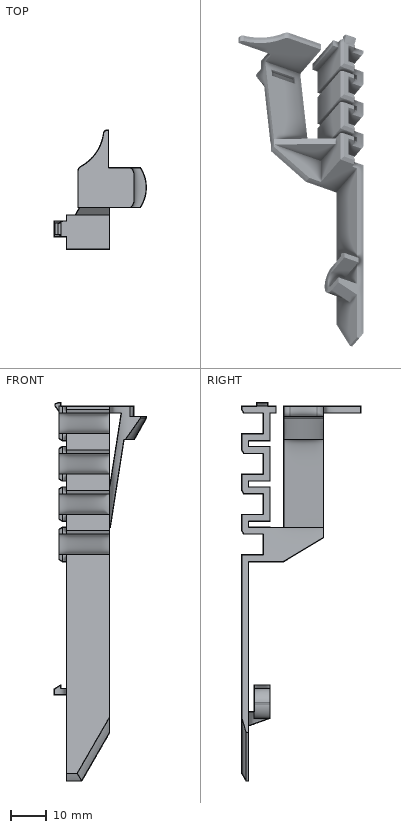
import cadquery as cq
import math

SIN30 = math.sin(math.radians(30))
COS30 = math.cos(math.radians(30))
TAN30 = math.tan(math.radians(30))

plate_width = 12.2
wall = 2.0
comb_top = 106.0
comb_depth = 8.05
pitch = 11.4
cell_count = 4
cell_height = 9.8
top_shelf_depth = 9.75
finger_bevel = 1.0
comb_bottom = comb_top - (cell_count - 1) * pitch - cell_height
plate_top = comb_bottom + wall

foot_width = 4.3
foot_bevel = 2.2
foot_bevel_depth = foot_bevel * TAN30

tooth_length = 2.15
tooth_front = 3.55
tooth_taper_length = 1.0
tooth_taper = 0.65

barb_root_x = -1.6
barb_height = 1.0
top_barb_tip_x = -3.3
top_barb_crest_x = -2.4
top_barb_upper_drop = 0.4
top_barb_tip_height = 0.5
top_barb_base_z = comb_top - 1.5

hook_shelf_top = 19.6
hook_shelf_root_thickness = 4.0
hook_thickness = 1.85
hook_gap = 4.75
hook_bend_radius = 2.2
hook_bend_x = 4.0
hook_tip_x = -3.5
hook_tip_height = 1.65

handle_front = 11.85
handle_back = 23.15
handle_left = 3.2
handle_corner_x = 18.0
handle_end_x = 19.05
handle_corner_depth = 1.8
handle_end_bottom = 103.1

lip_root_x = 16.0
lip_bottom = 96.5
lip_band = 0.5
lip_top_corner_x = 20.9
lip_top_apex_x = 22.59
lip_bottom_corner_x = 16.6
lip_bottom_apex_x = 19.15

fin_right = 11.9
fin_root_start = (handle_left, 22.1)
fin_root_mid = (3.45, 22.9)
fin_root_end = (4.1, 23.5)
fin_flank_mid = (8.6, 27.7)
fin_tip_start = (10.4, 32.5)
fin_tip_mid = (10.7, 33.35)
fin_tip_end = (11.2, 33.7)

bracket_top = 71.7
bracket_left = plate_width - wall
bracket_back_bottom = 68.8
strap_foot_x = 10.4
strap_lean = 5.05
strap_top = comb_top - wall

window_y = (13.9, 21.35)
window_z = (98.9, 101.5)
window_depth = 1.0


def box(x, y, z):
    """Box spanning the three (low, high) ranges."""
    block = cq.Workplane("XY").box(x[1] - x[0], y[1] - y[0], z[1] - z[0], centered=False)
    return block.translate((x[0], y[0], z[0]))


def prism_along_x(points, x):
    """Extrude a (y, z) outline over an x range."""
    return cq.Workplane("YZ", origin=(x[0], 0, 0)).polyline(points).close().extrude(x[1] - x[0])


def prism_along_y(points, y):
    """Extrude an (x, z) outline over a y range."""
    return cq.Workplane("XZ", origin=(0, y[0], 0)).polyline(points).close().extrude(y[0] - y[1])


def make_plate():
    """Long plate with a slanted foot, beveled along the bottom and the slanted edge."""
    slant_top = (plate_width - foot_width) / TAN30
    outline = [
        (0, 0),
        (foot_width, 0),
        (plate_width, slant_top),
        (plate_width, plate_top),
        (0, plate_top),
    ]
    plate = prism_along_y(outline, (0, wall))
    bottom_cut = prism_along_x([(0, 0), (foot_bevel_depth, 0), (0, foot_bevel)], (0, plate_width))

    across_edge = cq.Plane(
        origin=(foot_width, 0, 0),
        xDir=(-COS30, 0, SIN30),
        normal=(SIN30, 0, COS30),
    )
    slant_cut = (
        cq.Workplane(across_edge)
        .polyline([(0, 0), (foot_bevel, 0), (0, -foot_bevel_depth)])
        .close()
        .extrude(2 * slant_top, both=True)
    )
    return plate.cut(bottom_cut).cut(slant_cut)


def make_cell(top):
    """Web with an upper and a lower shelf, open toward the front."""
    bottom = top - cell_height
    under = top - wall
    cell = box((0, plate_width), (0, comb_depth), (bottom, top))
    opening = box((0, plate_width), (0, comb_depth - wall), (bottom + wall, under))
    bevel = [(0, under), (finger_bevel * TAN30, under), (0, under + finger_bevel)]
    return cell.cut(opening).cut(prism_along_x(bevel, (0, plate_width)))


def make_finger_front(top):
    """Front wall joining the lower shelf of one cell to the upper shelf of the next."""
    return box((0, plate_width), (0, wall), (top - pitch, top - cell_height + wall))


def make_tooth(top, top_taper):
    """Leftward extension of a cell with its outer faces tapered toward the end."""
    bottom = top - cell_height
    depth = comb_depth - tooth_front
    taper_start = tooth_taper_length - tooth_length
    end_height = cell_height - tooth_taper - top_taper
    end_rise = (tooth_taper - top_taper) / 2
    root = box((taper_start, 0), (tooth_front, comb_depth), (bottom, top))
    taper = (
        cq.Workplane("YZ", origin=(taper_start, tooth_front + depth / 2, bottom + cell_height / 2))
        .rect(depth, cell_height)
        .workplane(offset=-tooth_taper_length)
        .center(0, end_rise)
        .rect(depth - 2 * tooth_taper, end_height)
        .loft(ruled=True)
    )
    opening = box((-tooth_length, 0), (0, comb_depth - wall), (bottom + wall, top - wall))
    return root.union(taper).cut(opening)


def make_top_barb():
    """Barb standing up and out from the end of the uppermost tooth."""
    crest = comb_top + barb_height
    tip_top = crest - top_barb_upper_drop
    outline = [
        (barb_root_x, top_barb_base_z),
        (barb_root_x, crest),
        (top_barb_crest_x, crest),
        (top_barb_tip_x, tip_top),
        (top_barb_tip_x, tip_top - top_barb_tip_height),
        (-tooth_length, top_barb_base_z),
    ]
    return prism_along_y(outline, (tooth_front + tooth_taper, comb_depth - tooth_taper))


def make_hook():
    """Shelf on the plate whose end bends back over itself to a barbed arm."""
    shelf = prism_along_x(
        [
            (wall, hook_shelf_top),
            (comb_depth, hook_shelf_top),
            (comb_depth, hook_shelf_top - hook_thickness),
            (wall, hook_shelf_top - hook_shelf_root_thickness),
        ],
        (0, hook_bend_x),
    )
    width = (tooth_front, comb_depth)
    arm_bottom = hook_shelf_top + hook_gap
    arm_top = arm_bottom + hook_thickness

    outer_radius = hook_bend_radius + hook_thickness
    outer_block = box(
        (0, hook_bend_x + outer_radius),
        width,
        (hook_shelf_top - hook_thickness, arm_top),
    )
    inner_block = box(
        (0, hook_bend_x + hook_bend_radius),
        width,
        (hook_shelf_top, arm_bottom),
    )
    outer_bend = outer_block.edges(">X and |Y").fillet(outer_radius)
    inner_bend = inner_block.edges(">X and |Y").fillet(hook_bend_radius)
    bend = outer_bend.cut(inner_bend)

    arm = prism_along_y(
        [
            (hook_bend_x, arm_bottom),
            (hook_tip_x, arm_bottom),
            (hook_tip_x, arm_bottom + hook_tip_height),
            (barb_root_x, arm_top + barb_height),
            (barb_root_x, arm_top),
            (hook_bend_x, arm_top),
        ],
        width,
    )
    return shelf.union(bend).union(arm)


def make_handle_slab(left, bottom):
    """Slab up to the handle top with both corners of its right end rounded."""
    bulge = handle_end_x - handle_corner_x
    radius = (bulge ** 2 + handle_corner_depth ** 2) / (2 * bulge)
    half_angle = math.asin(handle_corner_depth / radius) / 2
    mid_x = handle_end_x - radius + radius * math.cos(half_angle)
    mid_inset = handle_corner_depth - radius * math.sin(half_angle)
    return (
        cq.Workplane("XY", origin=(0, 0, bottom))
        .moveTo(left, handle_front)
        .lineTo(handle_corner_x, handle_front)
        .threePointArc((mid_x, handle_front + mid_inset), (handle_end_x, handle_front + handle_corner_depth))
        .lineTo(handle_end_x, handle_back - handle_corner_depth)
        .threePointArc((mid_x, handle_back - mid_inset), (handle_corner_x, handle_back))
        .lineTo(left, handle_back)
        .close()
        .extrude(comb_top - bottom)
    )


def make_fin():
    """Left part of the handle plate, drawn out into a curved fin at the back."""
    return (
        cq.Workplane("XY", origin=(0, 0, comb_top - wall))
        .moveTo(handle_left, handle_front)
        .lineTo(*fin_root_start)
        .threePointArc(fin_root_mid, fin_root_end)
        .threePointArc(fin_flank_mid, fin_tip_start)
        .threePointArc(fin_tip_mid, fin_tip_end)
        .lineTo(fin_right, fin_tip_end[1])
        .lineTo(fin_right, handle_front)
        .close()
        .extrude(wall)
    )


def draw_lip(work, corner_x, apex_x):
    """Horizontal lip section with an arc at its right end."""
    return (
        work.moveTo(lip_root_x, handle_front)
        .lineTo(corner_x, handle_front)
        .threePointArc((apex_x, (handle_front + handle_back) / 2), (corner_x, handle_back))
        .lineTo(lip_root_x, handle_back)
        .close()
    )


def make_lip():
    """Finger lip that draws in toward the strap at its bottom."""
    band_bottom = handle_end_bottom - lip_band
    band_plane = cq.Workplane("XY", origin=(0, 0, band_bottom))
    band = draw_lip(band_plane, lip_top_corner_x, lip_top_apex_x).extrude(lip_band)
    sections = draw_lip(cq.Workplane("XY", origin=(0, 0, lip_bottom)), lip_bottom_corner_x, lip_bottom_apex_x)
    sections = sections.workplane(offset=band_bottom - lip_bottom)
    sections = draw_lip(sections, lip_top_corner_x, lip_top_apex_x)
    return band.union(sections.loft(ruled=True))


def strap_face_x(z):
    """Left face of the leaning strap at height z."""
    return strap_foot_x + strap_lean * (z - bracket_top) / (strap_top - bracket_top)


def make_strap():
    outline = [
        (strap_face_x(bracket_top), bracket_top),
        (strap_face_x(bracket_top) + wall, bracket_top),
        (strap_face_x(strap_top) + wall, strap_top),
        (strap_face_x(strap_top), strap_top),
    ]
    return prism_along_y(outline, (handle_front, handle_back))


def make_window():
    """Cutter for the window; its floor runs parallel to the strap face."""
    low, high = window_z
    outline = [
        (strap_face_x(low) - window_depth, low),
        (strap_face_x(low) + window_depth, low),
        (strap_face_x(high) + window_depth, high),
        (strap_face_x(high) - window_depth, high),
    ]
    return prism_along_y(outline, window_y)


def make_bracket():
    """Side wall and a wedge-shaped top flange tying the strap to the comb."""
    side = prism_along_x(
        [
            (comb_depth, bracket_top),
            (handle_back, bracket_top),
            (handle_back, bracket_back_bottom),
            (handle_front, comb_bottom),
            (comb_depth, comb_bottom),
        ],
        (bracket_left, plate_width),
    )
    flange_left = bracket_left - (handle_back - comb_depth) * TAN30
    flange = (
        cq.Workplane("XY", origin=(0, 0, bracket_top - wall))
        .moveTo(plate_width, comb_depth)
        .lineTo(flange_left, comb_depth)
        .lineTo(bracket_left, handle_back)
        .lineTo(plate_width, handle_back)
        .close()
        .extrude(wall)
    )
    return side.union(flange)


def make_comb():
    """Row of cells with their teeth, joined by the finger fronts."""
    comb = box((0, plate_width), (comb_depth, top_shelf_depth), (comb_top - wall, comb_top))
    for index in range(cell_count):
        top = comb_top - index * pitch
        top_taper = tooth_taper if index > 0 else 0
        comb = comb.union(make_cell(top)).union(make_tooth(top, top_taper))
    for index in range(cell_count - 1):
        comb = comb.union(make_finger_front(comb_top - index * pitch))
    return comb.union(make_top_barb())


def make_handle():
    """Handle plate with fin, thickened right end and finger lip."""
    plate = make_handle_slab(fin_right, comb_top - wall)
    thick_end = make_handle_slab(lip_root_x, handle_end_bottom)
    return plate.union(make_fin()).union(thick_end).union(make_lip())


result = make_plate().union(make_comb()).union(make_hook())
result = result.union(make_bracket()).union(make_strap()).union(make_handle())
result = result.cut(make_window())